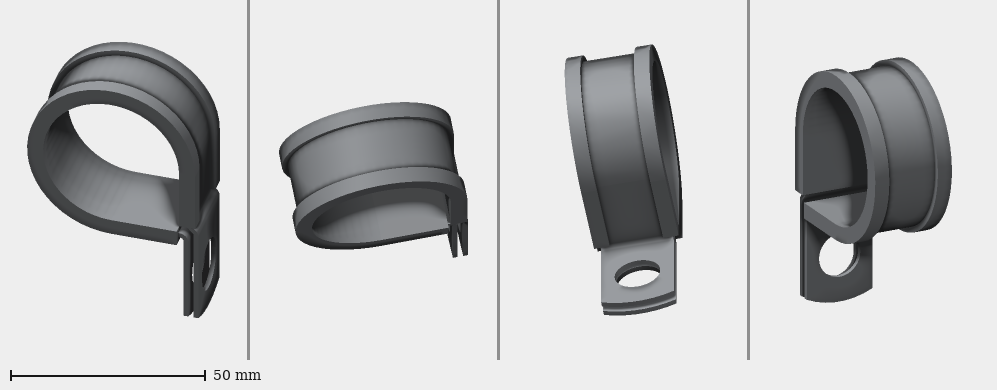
import cadquery as cq
import math

cushion_outer_radius = 22.5
cushion_inner_radius = 18.2
cushion_width = 22.1
upright_leg_end_z = -16.4
level_leg_end_x = 17.55

strap_thickness = 1.25
strap_width = 19.0
strap_outer_radius = 20.95
strap_inner_radius = strap_outer_radius - strap_thickness
groove_width = 14.0

tab_gap = 1.45
outer_tab_face_x = 22.91
inner_tab_face_x = outer_tab_face_x - strap_thickness - tab_gap
tab_bottom_z = -47.64
tab_end_radius = 22.5
hole_diameter = 11.9
slot_width = 12.1
slot_length = 14.4
hole_center_z = -34.9

bend_radius = 1.2
joggle_upper_radius = 1.4
joggle_start_z = -16.2
joggle_angle = math.radians(45)

embed_depth = 1.0


def polar(center, radius, angle):
    """Point at a given angle (radians) on a circle in the XZ plane."""
    return (center[0] + radius * math.cos(angle), center[1] + radius * math.sin(angle))


def extrude_centered(outline, width):
    """Extrude an XZ outline symmetrically about the Y = 0 plane."""
    return outline.extrude(width / 2, both=True)


def loop_band(inner_radius, outer_radius, width):
    """Three-quarter ring with a straight leg continuing from each end."""
    middle_angle = math.radians(135)
    origin = (0, 0)
    outline = (
        cq.Workplane("XZ")
        .moveTo(outer_radius, upright_leg_end_z)
        .lineTo(outer_radius, 0)
        .threePointArc(polar(origin, outer_radius, middle_angle), (0, -outer_radius))
        .lineTo(level_leg_end_x, -outer_radius)
        .lineTo(level_leg_end_x, -inner_radius)
        .lineTo(0, -inner_radius)
        .threePointArc(polar(origin, inner_radius, middle_angle), (inner_radius, 0))
        .lineTo(inner_radius, upright_leg_end_z)
        .close()
    )
    return extrude_centered(outline, width)


def make_cushion():
    """Cushion loop with the groove that exposes the strap."""
    groove = loop_band(strap_outer_radius, cushion_outer_radius, groove_width)
    return loop_band(cushion_inner_radius, cushion_outer_radius, cushion_width).cut(groove)


def make_inner_tab():
    """Tab that turns down from the level leg through one square bend."""
    outer_bend_radius = bend_radius + strap_thickness
    center = (inner_tab_face_x - outer_bend_radius, -strap_inner_radius - outer_bend_radius)
    back_face_x = inner_tab_face_x - strap_thickness
    half_bend = math.radians(45)
    start_x = level_leg_end_x - embed_depth
    outline = (
        cq.Workplane("XZ")
        .moveTo(start_x, -strap_inner_radius)
        .lineTo(center[0], -strap_inner_radius)
        .threePointArc(polar(center, outer_bend_radius, half_bend), (inner_tab_face_x, center[1]))
        .lineTo(inner_tab_face_x, tab_bottom_z)
        .lineTo(back_face_x, tab_bottom_z)
        .lineTo(back_face_x, center[1])
        .threePointArc(polar(center, bend_radius, half_bend), (center[0], -strap_outer_radius))
        .lineTo(start_x, -strap_outer_radius)
        .close()
    )
    return extrude_centered(outline, strap_width)


def make_outer_tab():
    """Tab that continues down from the upright leg, stepped outward by a joggle."""
    upper_convex_radius = joggle_upper_radius + strap_thickness
    lower_convex_radius = bend_radius + strap_thickness
    back_face_x = outer_tab_face_x - strap_thickness

    upper_center = (strap_outer_radius + joggle_upper_radius, joggle_start_z)
    lower_center_x = outer_tab_face_x - lower_convex_radius
    upper_exit = math.pi + joggle_angle
    slope_start = polar(upper_center, joggle_upper_radius, upper_exit)
    slope_end_x = lower_center_x + lower_convex_radius * math.cos(joggle_angle)
    slope_end_z = slope_start[1] - (slope_end_x - slope_start[0]) / math.tan(joggle_angle)
    lower_center = (lower_center_x, slope_end_z - lower_convex_radius * math.sin(joggle_angle))

    upper_middle = math.pi + joggle_angle / 2
    lower_middle = joggle_angle / 2
    start_z = upright_leg_end_z + embed_depth
    outline = (
        cq.Workplane("XZ")
        .moveTo(strap_outer_radius, start_z)
        .lineTo(strap_outer_radius, joggle_start_z)
        .threePointArc(polar(upper_center, joggle_upper_radius, upper_middle), slope_start)
        .lineTo(slope_end_x, slope_end_z)
        .threePointArc(
            polar(lower_center, lower_convex_radius, lower_middle),
            (outer_tab_face_x, lower_center[1]),
        )
        .lineTo(outer_tab_face_x, tab_bottom_z)
        .lineTo(back_face_x, tab_bottom_z)
        .lineTo(back_face_x, lower_center[1])
        .threePointArc(
            polar(lower_center, bend_radius, lower_middle),
            polar(lower_center, bend_radius, joggle_angle),
        )
        .lineTo(*polar(upper_center, upper_convex_radius, upper_exit))
        .threePointArc(
            polar(upper_center, upper_convex_radius, upper_middle),
            (strap_inner_radius, joggle_start_z),
        )
        .lineTo(strap_inner_radius, start_z)
        .close()
    )
    return extrude_centered(outline, strap_width)


def make_tab_shape():
    """Block along X with the rounded lower end shared by both tabs."""
    half_width = strap_width / 2
    end_center_z = tab_bottom_z + tab_end_radius
    corner_z = end_center_z - math.sqrt(tab_end_radius**2 - half_width**2)
    return (
        cq.Workplane("YZ")
        .moveTo(-half_width, 0)
        .lineTo(-half_width, corner_z)
        .threePointArc((0, tab_bottom_z), (half_width, corner_z))
        .lineTo(half_width, 0)
        .close()
        .extrude(outer_tab_face_x)
    )


def make_bolt_hole():
    """Round hole through the inner tab."""
    return cq.Workplane("YZ").center(0, hole_center_z).circle(hole_diameter / 2).extrude(outer_tab_face_x)


def make_bolt_slot():
    """Upright slot through the outer tab, concentric with the round hole."""
    outline = cq.Workplane("YZ").center(0, hole_center_z).slot2D(slot_length, slot_width, 90)
    return outline.extrude(outer_tab_face_x)


tab_shape = make_tab_shape()
inner_tab = make_inner_tab().intersect(tab_shape).cut(make_bolt_hole())
outer_tab = make_outer_tab().intersect(tab_shape).cut(make_bolt_slot())
result = make_cushion().union(inner_tab).union(outer_tab)